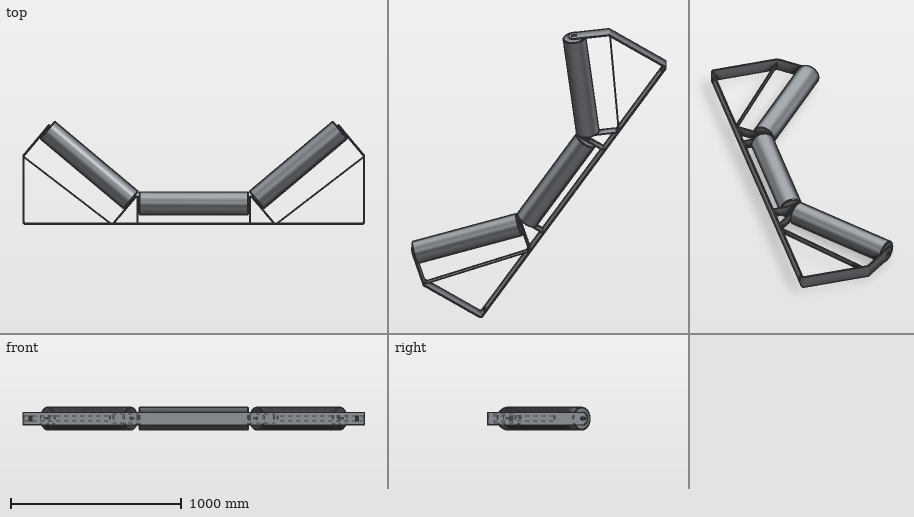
import cadquery as cq
import math


frame_length = 2000.0
frame_width = 75.0
bracket_width = 55.0
frame_thickness = 8.0
bracket_thickness = 5.0
base_bend_radius = 15.0
arm_bend_radius = 12.0
bracket_bend_radius = 10.0

roller_diameter = 135.0
roller_length = 640.0
roller_chamfer = 5.0
roller_gap = 5.0
axle_diameter = 18.0
trough_angle = 40.0
middle_roller_y = 125.0
side_roller_x = 612.0
side_roller_y = 348.0

arm_overhang = 30.0
arm_chamfer = 20.0
slot_length = 30.0
slot_width = axle_diameter
mounting_slot_inset = 45.0
brace_thickness = 5.0
brace_width = 30.0
brace_angle = 37.5
brace_foot_x = 485.0

half_length = frame_length / 2

face_offset = roller_length / 2 + roller_gap
bracket_axle_end = face_offset + bracket_thickness
arm_axle_end = face_offset + frame_thickness

tilt = math.radians(trough_angle)
along = (-math.cos(tilt), math.sin(tilt))
across = (math.sin(tilt), math.cos(tilt))
side_middle = (-side_roller_x, side_roller_y)
side_along = side_middle[0] * along[0] + side_middle[1] * along[1]
side_across = side_middle[0] * across[0] + side_middle[1] * across[1]


def meet(first, second):
    """Crossing point of two lines, each given as (normal, distance from the origin)."""
    (ax, ay), a = first
    (bx, by), b = second
    det = ax * by - ay * bx
    return ((a * by - b * ay) / det, (ax * b - bx * a) / det)


def at_x(x):
    """Line of constant X."""
    return ((1.0, 0.0), x)


def at_y(y):
    """Line of constant Y."""
    return ((0.0, 1.0), y)


def side_end(offset):
    """Line square to the left roller axis, at an offset up that axis from the roller middle."""
    return (along, side_along + offset)


def flipped(points):
    """Points mirrored to the other side of X = 0, in reverse order."""
    return [(-x, y) for x, y in reversed(points)]


def extrude_centred(points, width):
    """Prism from an XY outline, with the given width centred on Z = 0."""
    return cq.Workplane("XY").polyline(points).close().extrude(width / 2, both=True)


def round_bend(body, point, radius):
    """Fillet the upright edge of the body at a corner of its outline."""
    return body.edges(cq.selectors.NearestToPointSelector((point[0], point[1], 0))).fillet(radius)


def slot_cutter(centre, normal, slot_direction):
    """Slot through one plate, centred on the plate's near face."""
    plane = cq.Plane(origin=centre, xDir=slot_direction, normal=normal)
    return cq.Workplane(plane).slot2D(slot_length, slot_width).extrude(2 * frame_thickness, both=True)


def side_point(offset):
    """Point on the left roller axis, at an offset up that axis from the roller middle."""
    return (side_middle[0] + offset * along[0], side_middle[1] + offset * along[1], 0)


def make_roller(left_end, right_end):
    """Roller along X, centred on the origin, with its axle reaching to the given distances each way."""
    shell = (
        cq.Workplane("YZ", origin=(-roller_length / 2, 0, 0))
        .circle(roller_diameter / 2)
        .extrude(roller_length)
        .faces("<X or >X")
        .chamfer(roller_chamfer)
    )
    axle = (
        cq.Workplane("YZ", origin=(-left_end, 0, 0))
        .circle(axle_diameter / 2)
        .extrude(left_end + right_end)
    )
    return shell.union(axle)


def make_frame():
    """One bent strip: base, two legs and two sloping arms."""
    arm_inner = side_end(face_offset)
    arm_outer = side_end(arm_axle_end)
    arm_end = (across, side_across + arm_overhang)
    outer_corner = (-half_length, 0.0)
    inner_corner = (-half_length + frame_thickness, frame_thickness)
    outer_bend = meet(at_x(-half_length), arm_outer)
    inner_bend = meet(at_x(-half_length + frame_thickness), arm_inner)
    outer_side = [outer_corner, outer_bend, meet(arm_end, arm_outer)]
    inner_side = [meet(arm_end, arm_inner), inner_bend, inner_corner]
    left_side = outer_side + inner_side
    frame = extrude_centred(left_side + flipped(left_side), frame_width)

    bends = [
        (outer_corner, base_bend_radius),
        (inner_corner, base_bend_radius - frame_thickness),
        (outer_bend, arm_bend_radius),
        (inner_bend, arm_bend_radius - frame_thickness),
    ]
    for (x, y), radius in bends:
        for side in (-1, 1):
            frame = round_bend(frame, (side * x, y), radius)

    tip_x, tip_y = meet(arm_end, side_end(face_offset + frame_thickness / 2))
    for side in (-1, 1):
        for z in (-frame_width / 2, frame_width / 2):
            corner = (side * tip_x, tip_y, z)
            frame = frame.edges(cq.selectors.NearestToPointSelector(corner)).chamfer(arm_chamfer)

    arm_slot = slot_cutter(side_point(face_offset), (*along, 0), (*across, 0))
    frame = frame.cut(arm_slot).cut(arm_slot.mirror("YZ"))
    for side in (-1, 1):
        centre = (side * (half_length - mounting_slot_inset), frame_thickness, 0)
        frame = frame.cut(slot_cutter(centre, (0, 1, 0), (0, 0, 1)))
    return frame


def make_left_bracket():
    """Bent strip on the base: upright plate for the middle roller, sloping plate for the side roller."""
    base_top = at_y(frame_thickness)
    slope_outer = side_end(-face_offset)
    slope_inner = side_end(-bracket_axle_end)
    upright_outer = at_x(-face_offset)
    upright_inner = at_x(-bracket_axle_end)
    outer_apex = meet(slope_outer, upright_outer)
    inner_apex = meet(slope_inner, upright_inner)
    outline = [
        meet(base_top, slope_outer),
        outer_apex,
        meet(base_top, upright_outer),
        meet(base_top, upright_inner),
        inner_apex,
        meet(base_top, slope_inner),
    ]
    bracket = extrude_centred(outline, bracket_width)
    bracket = round_bend(bracket, outer_apex, bracket_bend_radius)
    bracket = round_bend(bracket, inner_apex, bracket_bend_radius - bracket_thickness)
    bracket = bracket.cut(slot_cutter(side_point(-face_offset), (*along, 0), (*across, 0)))
    return bracket.cut(slot_cutter((-face_offset, middle_roller_y, 0), (1, 0, 0), (0, 1, 0)))


def make_left_brace():
    """Thin flat bar from the base up to the inside of the leg."""
    slope = math.radians(brace_angle)
    normal = (math.sin(slope), math.cos(slope))
    upper_distance = -brace_foot_x * normal[0] + frame_thickness * normal[1]
    lower_face = (normal, upper_distance - brace_thickness)
    upper_face = (normal, upper_distance)
    base_top = at_y(frame_thickness)
    leg_inside = at_x(-half_length + frame_thickness)
    outline = [
        meet(lower_face, base_top),
        meet(upper_face, base_top),
        meet(upper_face, leg_inside),
        meet(lower_face, leg_inside),
    ]
    return extrude_centred(outline, brace_width)


middle_roller = make_roller(bracket_axle_end, bracket_axle_end).translate((0, middle_roller_y, 0))
left_roller = (
    make_roller(arm_axle_end, bracket_axle_end)
    .rotate((0, 0, 0), (0, 0, 1), -trough_angle)
    .translate((*side_middle, 0))
)
left_bracket = make_left_bracket()
left_brace = make_left_brace()
frame = make_frame()

bodies = [frame.val(), middle_roller.val()]
for left_body in (left_roller, left_bracket, left_brace):
    bodies.append(left_body.val())
    bodies.append(left_body.mirror("YZ").val())

result = cq.Compound.makeCompound(bodies)